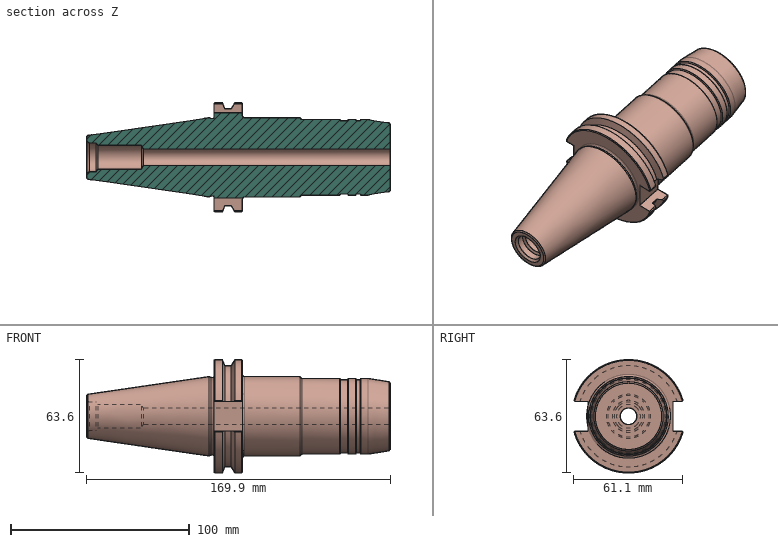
import cadquery as cq
import math

total_length = 169.9

taper_length = 68.5
taper_radius = 22.3
taper_slope = 7 / 48
tip_chamfer = 0.7

neck_lead_end = 69.7
neck_radius = 21.7
neck_fillet = 0.5

flange_start = 71.2
flange_end = 87.1
flange_radius = 31.8
flange_edge_chamfer = 0.5
vee_floor_radius = 28.4
vee_start = 76.0
vee_floor_start = 77.3
vee_floor_end = 80.9
vee_end = 82.9

slot_width = 16.5
slot_mouth_chamfer = 0.8
front_slot_floor = 22.8
back_slot_floor = 25.0

hub_radius = taper_radius
hub_root_fillet = 1.2
hub_end = 119.8
hub_end_round = 0.8
sleeve_radius = 21.2
sleeve_root_length = 1.0

bands = [(141.5, 146.0), (150.3, 152.9)]
band_depth = 0.7
band_wall_run = 0.5

nose_start = 157.3
nose_end_radius = 19.4
nose_chamfer = 0.8

mouth_radius = 9.0
mouth_cone_depth = 1.5
pilot_radius = 8.0
pilot_depth = 5.3
thread_radius = 6.6
thread_lead = 1.0
thread_depth = 30.5
drill_point_angle = 120
through_radius = 4.6


def taper_radius_at(x):
    return taper_radius - (taper_length - x) * taper_slope


def turned_body():
    sleeve_root_rise = hub_radius - hub_end_round - sleeve_radius
    sleeve_root_radius = (sleeve_root_length**2 + sleeve_root_rise**2) / (2 * sleeve_root_rise)
    profile = (
        cq.Workplane("XZ")
        .moveTo(0, 0)
        .lineTo(0, taper_radius_at(0) - tip_chamfer)
        .lineTo(tip_chamfer, taper_radius_at(tip_chamfer))
        .lineTo(taper_length, taper_radius)
        .lineTo(neck_lead_end, neck_radius)
        .lineTo(flange_start - neck_fillet, neck_radius)
        .radiusArc((flange_start, neck_radius + neck_fillet), -neck_fillet)
        .lineTo(flange_start, flange_radius - flange_edge_chamfer)
        .lineTo(flange_start + flange_edge_chamfer, flange_radius)
        .lineTo(vee_start, flange_radius)
        .lineTo(vee_floor_start, vee_floor_radius)
        .lineTo(vee_floor_end, vee_floor_radius)
        .lineTo(vee_end, flange_radius)
        .lineTo(flange_end - flange_edge_chamfer, flange_radius)
        .lineTo(flange_end, flange_radius - flange_edge_chamfer)
        .lineTo(flange_end, hub_radius + hub_root_fillet)
        .radiusArc((flange_end + hub_root_fillet, hub_radius), -hub_root_fillet)
        .lineTo(hub_end - hub_end_round, hub_radius)
        .radiusArc((hub_end, hub_radius - hub_end_round), hub_end_round)
        .radiusArc((hub_end + sleeve_root_length, sleeve_radius), -sleeve_root_radius)
    )
    for start, end in bands:
        profile = (
            profile.lineTo(start, sleeve_radius)
            .lineTo(start + band_wall_run, sleeve_radius - band_depth)
            .lineTo(end, sleeve_radius - band_depth)
            .lineTo(end + band_wall_run, sleeve_radius)
        )
    profile = (
        profile.lineTo(nose_start, sleeve_radius)
        .lineTo(total_length - nose_chamfer, nose_end_radius)
        .lineTo(total_length, nose_end_radius - nose_chamfer)
        .lineTo(total_length, 0)
        .close()
    )
    return profile.revolve(360, (0, 0, 0), (1, 0, 0))


def bore():
    point_length = (thread_radius - through_radius) / math.tan(math.radians(drill_point_angle / 2))
    return (
        cq.Workplane("XZ")
        .moveTo(0, 0)
        .lineTo(0, mouth_radius)
        .lineTo(mouth_cone_depth, pilot_radius)
        .lineTo(pilot_depth, pilot_radius)
        .lineTo(pilot_depth + thread_lead, thread_radius)
        .lineTo(thread_depth, thread_radius)
        .lineTo(thread_depth + point_length, through_radius)
        .lineTo(total_length, through_radius)
        .lineTo(total_length, 0)
        .close()
        .revolve(360, (0, 0, 0), (1, 0, 0))
    )


def drive_slot(floor, side):
    half = slot_width / 2
    rim_y = math.sqrt(flange_radius**2 - half**2)
    chamfer_y = rim_y - slot_mouth_chamfer
    flare = flange_radius - chamfer_y
    outline = [
        (side * floor, -half),
        (side * chamfer_y, -half),
        (side * flange_radius, -half - flare),
        (side * flange_radius, half + flare),
        (side * chamfer_y, half),
        (side * floor, half),
    ]
    slot = cq.Workplane("YZ", origin=(flange_start, 0, 0)).polyline(outline).close()
    return slot.extrude(flange_end - flange_start)


result = (
    turned_body()
    .cut(drive_slot(front_slot_floor, -1))
    .cut(drive_slot(back_slot_floor, 1))
    .cut(bore())
)